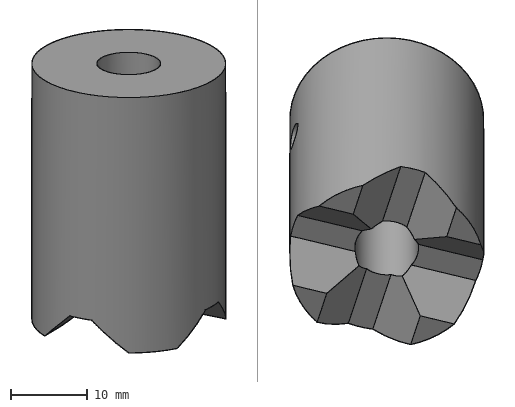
import cadquery as cq

height = 35.72
body_diameter = 25.4
bore_diameter = 8.32

side_hole_diameter = 3.45
side_hole_depth_from_top = 9.45

notch_depth = 4.2
notch_top_width = 3.32
notch_mouth_width = 12.7


def notch_channel(plane_name):
    """Trapezoidal channel through the whole body, normal to the given plane."""
    return (
        cq.Workplane(plane_name)
        .moveTo(-notch_mouth_width / 2, 0)
        .lineTo(-notch_top_width / 2, notch_depth)
        .lineTo(notch_top_width / 2, notch_depth)
        .lineTo(notch_mouth_width / 2, 0)
        .close()
        .extrude(body_diameter, both=True)
    )


def side_hole():
    """Radial hole running from the axis out through the -X wall."""
    return (
        cq.Workplane("YZ")
        .center(0, height - side_hole_depth_from_top)
        .circle(side_hole_diameter / 2)
        .extrude(-body_diameter)
    )


result = (
    cq.Workplane("XY")
    .circle(body_diameter / 2)
    .circle(bore_diameter / 2)
    .extrude(height)
)
result = result.cut(side_hole())

for plane_name in ("XZ", "YZ"):
    result = result.cut(notch_channel(plane_name))